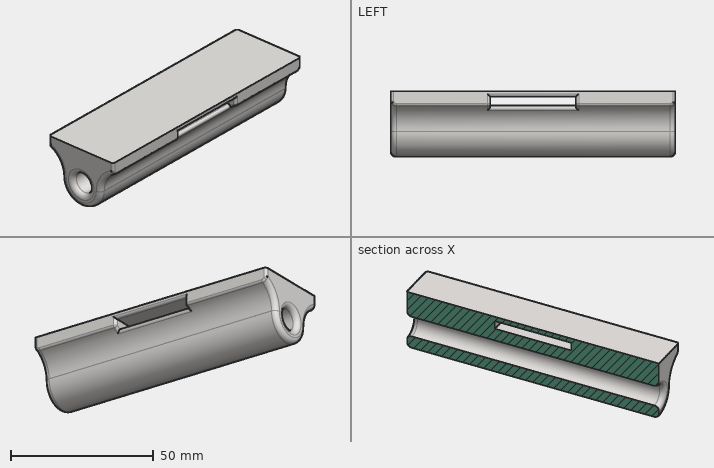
import cadquery as cq
import math

length = 100.0
width = 30.0
height = 23.1

barrel_radius = 9.0
flank_radius = 10.0
bore_diameter = 8.0

slot_length = 30.0
slot_height = 3.0
slot_roof = 2.0

corner_round = 1.0
end_round = 2.0
edge_round = 1.0

floor_z = -slot_roof - slot_height
middle_length = slot_length + 2 * edge_round

half_width = width / 2
axis_z = barrel_radius - height
flank_center_x = barrel_radius + flank_radius
edge_z = axis_z + math.sqrt(flank_radius**2 - (flank_center_x - half_width)**2)
flank_mid_angle = math.asin((edge_z - axis_z) / flank_radius) / 2
flank_mid_x = flank_center_x - flank_radius * math.cos(flank_mid_angle)
flank_mid_z = axis_z + flank_radius * math.sin(flank_mid_angle)


def make_rail():
    """Extrude the cross-section, centred on Y = 0."""
    return (
        cq.Workplane("XZ", origin=(0, length / 2, 0))
        .moveTo(-half_width, 0)
        .lineTo(half_width, 0)
        .lineTo(half_width, edge_z)
        .threePointArc((flank_mid_x, flank_mid_z), (barrel_radius, axis_z))
        .threePointArc((0, -height), (-barrel_radius, axis_z))
        .threePointArc((-flank_mid_x, flank_mid_z), (-half_width, edge_z))
        .close()
        .extrude(length)
    )


def round_ends(body):
    """Round the curved rim of both end faces, then the upright corners."""
    body = body.faces("<Y or >Y").edges("%CIRCLE").fillet(end_round)
    corner_block = (
        cq.Workplane("XY", origin=(0, 0, -height))
        .rect(width, length)
        .extrude(height)
        .edges("|Z")
        .fillet(corner_round)
    )
    return body.intersect(corner_block)


def make_bore():
    """Through bore along the barrel axis, with a flared mouth at each end."""
    bore_radius = bore_diameter / 2
    mouth_radius = bore_radius + end_round
    half_length = length / 2
    throat_y = half_length - end_round
    diagonal = end_round * math.sqrt(0.5)
    flare_x = mouth_radius - diagonal
    flare_y = throat_y + diagonal
    return (
        cq.Workplane("XY", origin=(0, 0, axis_z))
        .moveTo(0, -half_length)
        .lineTo(mouth_radius, -half_length)
        .threePointArc((flare_x, -flare_y), (bore_radius, -throat_y))
        .lineTo(bore_radius, throat_y)
        .threePointArc((flare_x, flare_y), (mouth_radius, half_length))
        .lineTo(0, half_length)
        .close()
        .revolve(360, (0, 0, 0), (0, 1, 0))
    )


def make_block(size_y, y_min, z_min, z_max):
    """Full-width block spanning the given Y and Z ranges."""
    return (
        cq.Workplane("XY", origin=(0, y_min + size_y / 2, z_min))
        .rect(width, size_y)
        .extrude(z_max - z_min)
    )


def make_end_segment():
    """Rail from the slot's end wall to the +Y end, with the wall and plate edges rounded."""
    segment_length = (length - slot_length) / 2
    block = make_block(segment_length, slot_length / 2, -height, 0)
    segment = round_ends(make_rail()).intersect(block)
    wall_edges = segment.faces("<Y").edges()
    plate_edges = segment.faces("<X or >X").edges("|Y")
    rounded_edges = [
        edge for edge in wall_edges.add(plate_edges).vals()
        if axis_z < edge.Center().z < -edge_round
    ]
    return segment.newObject(rounded_edges).fillet(edge_round)


def make_bridge():
    """Thin strip over the slot, with its lower long edges rounded."""
    strip = make_block(middle_length, -middle_length / 2, -slot_roof, 0)
    return strip.edges("|Y and <Z").fillet(edge_round)


def make_slot_floor():
    """Lower part of the rail under the slot, with the lips of its floor rounded."""
    block = make_block(middle_length, -middle_length / 2, -height, floor_z)
    return make_rail().intersect(block).faces(">Z").edges("|Y").fillet(edge_round)


end_segment = make_end_segment()
rail = (
    end_segment
    .union(end_segment.mirror("XZ"))
    .union(make_bridge())
    .union(make_slot_floor())
)
result = rail.cut(make_bore())